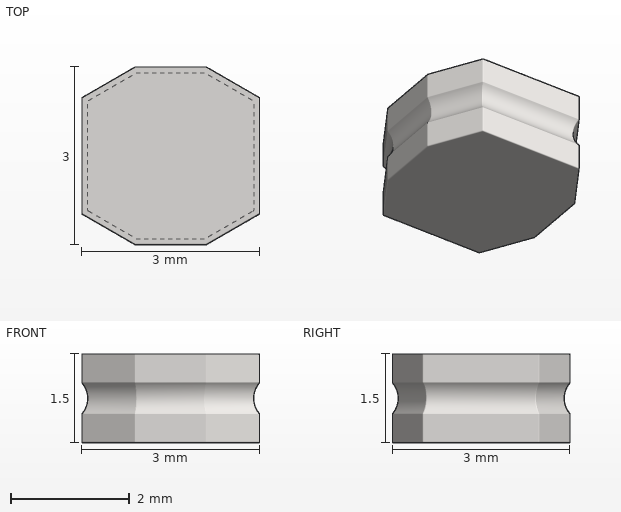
import cadquery as cq
import math

width = 3.0
height = 1.5

corner_run = 0.9
corner_angle = 30.0
corner_rise = corner_run * math.tan(math.radians(corner_angle))

groove_radius = 0.4
groove_depth = 0.1
cutter_length = width

edge_radius = 0.02


def octagon_corners():
    """Plan corners, counter-clockwise."""
    half = width / 2
    inner_x = half - corner_run
    inner_y = half - corner_rise
    return [
        (half, -inner_y),
        (half, inner_y),
        (inner_x, half),
        (-inner_x, half),
        (-half, inner_y),
        (-half, -inner_y),
        (-inner_x, -half),
        (inner_x, -half),
    ]


def octagon_block(corners):
    return cq.Workplane("XY").polyline(corners).close().extrude(height / 2, both=True)


def groove_cutter(start, end):
    """Cylinder parallel to one side, dipping into it by the groove depth."""
    side_start = cq.Vector(*start)
    side_end = cq.Vector(*end)
    along = (side_end - side_start).normalized()
    outward = cq.Vector(along.y, -along.x, 0)
    side_middle = (side_start + side_end) * 0.5
    axis_middle = side_middle + outward * (groove_radius - groove_depth)
    axis_start = axis_middle - along * (cutter_length / 2)
    return cq.Workplane(cq.Solid.makeCylinder(groove_radius, cutter_length, axis_start, along))


corners = octagon_corners()
body = octagon_block(corners)

for index, start in enumerate(corners):
    end = corners[(index + 1) % len(corners)]
    body = body.cut(groove_cutter(start, end))

result = body.edges().fillet(edge_radius)